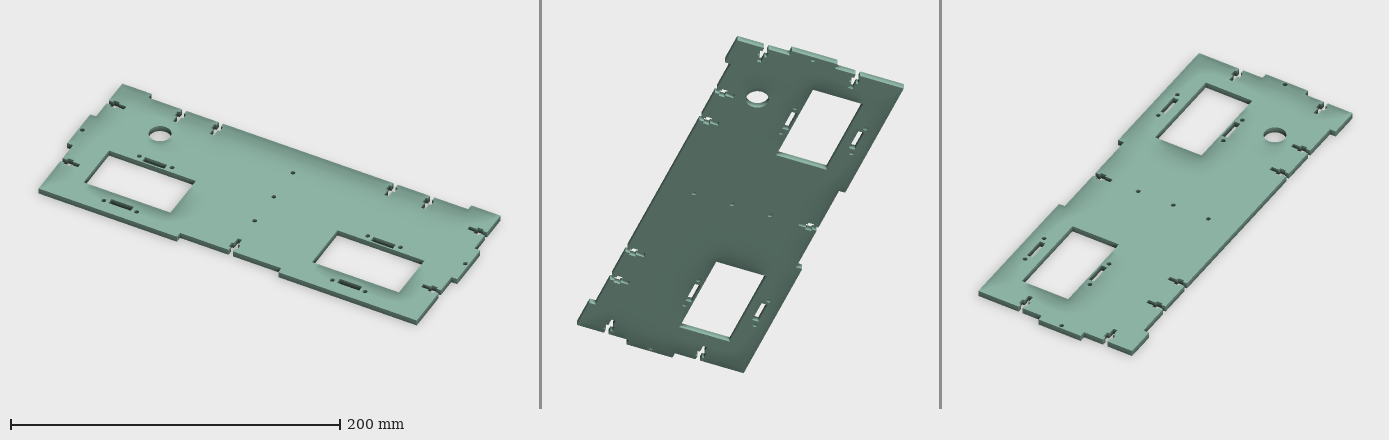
import cadquery as cq


length = 268.0
width = 109.0
thickness = 4.0
joint_depth = thickness
body_length = length - 2 * joint_depth
bottom_y = -60.0
top_y = bottom_y + width

side_tab_width = 30.0
top_notch_length = 219.8
bottom_notch_length = 69.7
top_notch_y = top_y - joint_depth
bottom_notch_y = bottom_y + joint_depth

screw_slot_width = 3.0
screw_slot_depth = 12.0
nut_width = 6.0
nut_thickness = 4.0
nut_setback = 3.0
side_slot_y = 30.0
top_slot_inner_x = 60.0
top_slot_outer_x = 85.2

screw_hole_diameter = 3.0
centre_hole_pitch = 25.0
tab_hole_x = 131.5
cable_hole_diameter = 14.0
cable_hole_x = -88.2
cable_hole_y = 19.0

window_length = 59.8
window_width = 33.0
window_x = 78.5
window_y = -25.7
mount_y = -28.1
mount_hole_pitch_x = 22.5
mount_hole_pitch_y = 46.0
strap_slot_length = 15.3
strap_slot_width = 4.0
strap_slot_pitch_y = 43.7


def block(size_x, size_y, x, y):
    """Full-thickness rectangular block centred on (x, y)."""
    return cq.Workplane("XY").center(x, y).rect(size_x, size_y).extrude(thickness)


def round_cutters(diameter, points):
    """Full-thickness cylinders at the given points."""
    return cq.Workplane("XY").pushPoints(points).circle(diameter / 2).extrude(thickness)


def nut_slot_cutter(x, y, angle):
    """Cross-shaped slot that starts on an edge at (x, y) and runs inward along angle."""
    screw = block(screw_slot_depth, screw_slot_width, screw_slot_depth / 2, 0)
    nut = block(nut_thickness, nut_width, nut_setback + nut_thickness / 2, 0)
    cutter = screw.union(nut)
    return cutter.rotate((0, 0, 0), (0, 0, 1), angle).translate((x, y, 0))


panel = block(body_length, width, 0, (top_y + bottom_y) / 2)
panel = panel.union(block(length, side_tab_width, 0, 0))
panel = panel.cut(block(top_notch_length, joint_depth, 0, top_y - joint_depth / 2))
panel = panel.cut(block(bottom_notch_length, joint_depth, 0, bottom_y + joint_depth / 2))

panel = panel.cut(nut_slot_cutter(0, bottom_notch_y, 90))
for side in (-1, 1):
    for slot_x in (top_slot_inner_x, top_slot_outer_x):
        panel = panel.cut(nut_slot_cutter(side * slot_x, top_notch_y, -90))
    inward_angle = 0 if side < 0 else 180
    for slot_y in (-side_slot_y, side_slot_y):
        panel = panel.cut(nut_slot_cutter(side * body_length / 2, slot_y, inward_angle))

for side in (-1, 1):
    centre_x = side * window_x
    panel = panel.cut(block(window_length, window_width, centre_x, window_y))
    for level in (-1, 1):
        strap_y = mount_y + level * strap_slot_pitch_y / 2
        panel = panel.cut(block(strap_slot_length, strap_slot_width, centre_x, strap_y))
        hole_y = mount_y + level * mount_hole_pitch_y / 2
        mount_holes = [(centre_x + end * mount_hole_pitch_x / 2, hole_y) for end in (-1, 1)]
        panel = panel.cut(round_cutters(screw_hole_diameter, mount_holes))

centre_holes = [(0, step * centre_hole_pitch) for step in (-1, 0, 1)]
tab_holes = [(-tab_hole_x, 0), (tab_hole_x, 0)]
panel = panel.cut(round_cutters(screw_hole_diameter, centre_holes + tab_holes))
panel = panel.cut(round_cutters(cable_hole_diameter, [(cable_hole_x, cable_hole_y)]))

result = panel